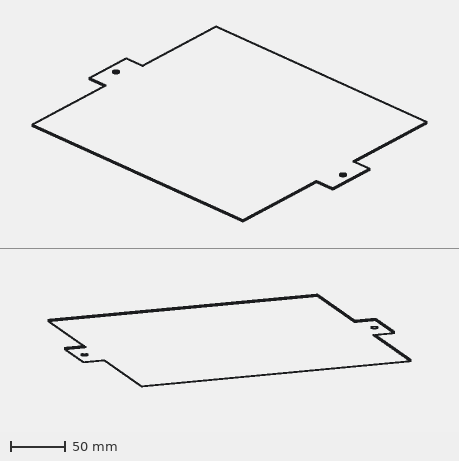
import cadquery as cq

overall_length = 305.0
plate_width = 250.0
thickness = 1.6

tab_length = 20.5
tab_width = 50.0
hole_diameter = 6.0

plate_length = overall_length - 2 * tab_length
hole_offset = overall_length / 2 - tab_length / 2

plate = cq.Workplane("XY").box(plate_length, plate_width, thickness)
tab_strip = cq.Workplane("XY").box(overall_length, tab_width, thickness)

result = (
    plate.union(tab_strip)
    .faces(">Z")
    .workplane(origin=(0, 0, 0))
    .pushPoints([(-hole_offset, 0), (hole_offset, 0)])
    .hole(hole_diameter)
)